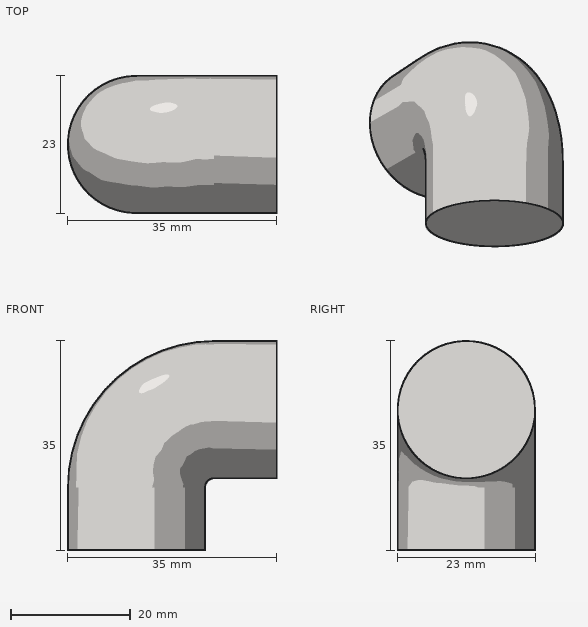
import cadquery as cq

pipe_diameter = 23.0
bend_radius = 13.0
overall_reach = 35.0

pipe_radius = pipe_diameter / 2
leg_length = overall_reach - bend_radius - pipe_radius
bend_angle = 90.0


def make_lower_leg():
    """Straight vertical leg, standing on Z = 0."""
    return cq.Workplane("XY").circle(pipe_radius).extrude(leg_length)


def make_bend():
    """Quarter torus turning from +Z to +X about an axis parallel to Y."""
    return (
        cq.Workplane("XY", origin=(0, 0, leg_length))
        .circle(pipe_radius)
        .revolve(bend_angle, (bend_radius, 0), (bend_radius, 1))
    )


def make_side_leg():
    """Straight horizontal leg, running in +X from the end of the bend."""
    bend_end = (bend_radius, 0, leg_length + bend_radius)
    return cq.Workplane("YZ", origin=bend_end).circle(pipe_radius).extrude(leg_length)


result = make_lower_leg().union(make_bend()).union(make_side_leg())